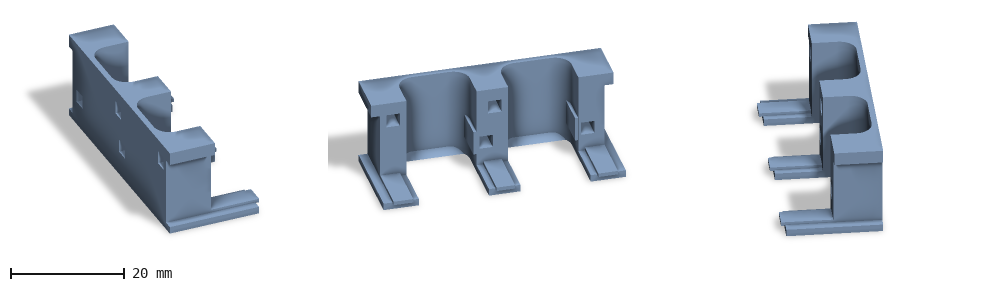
import cadquery as cq

overall_length = 44.1
nib_length = 0.1
length = overall_length - nib_length
height = 16.45
post_depth = 8.65
wall_thickness = 1.05

end_inset = 1.65
top_flange = 2.4
base_thickness = 1.32

bay_count = 2
end_post_width = 6.4
middle_post_width = 5.75
bay_width = (length - 2 * end_post_width - middle_post_width) / bay_count
bay_pitch = bay_width + middle_post_width
bay_starts = [end_post_width + i * bay_pitch for i in range(bay_count)]
bay_corner_radius = 3.0

nib_depth = 0.2
nib_height = 0.15

foot_reach = 17.1
tongue_reach = 17.85
tongue_inner_inset = 1.2
tongue_bottom = 1.2
tongue_top = 1.9

hole_size = 2.45
hole_lip = 1.05
low_hole_x = 3.45
low_hole_z = 4.6
high_hole_x = 20.35
high_hole_z = 11.6

pad_depth = 8.55
pad_width = low_hole_x + hole_size + hole_lip - end_post_width

wedge_size = 1.2


def box(x_min, x_max, y_max, z_min, z_max):
    """Block that starts at the front face (Y = 0)."""
    size = (x_max - x_min, y_max, z_max - z_min)
    return cq.Workplane("XY").box(*size, centered=False).translate((x_min, 0, z_min))


def end_recess(x_start):
    """Space between the top and bottom flanges at one end."""
    return box(x_start, x_start + end_inset, post_depth, base_thickness, height - top_flange)


def bay_cutter(x_start):
    """Opening from the rear with rounded corners against the front wall."""
    opening = box(x_start, x_start + bay_width, post_depth, 0, height)
    return opening.translate((0, wall_thickness, 0)).edges("|Z and <Y").fillet(bay_corner_radius)


def wedge(x_start):
    """Sloped strip along the bottom of a bay's wall."""
    profile = [
        (0, 0),
        (wall_thickness + wedge_size, 0),
        (wall_thickness, wedge_size),
        (0, wedge_size),
    ]
    return cq.Workplane("YZ").polyline(profile).close().extrude(bay_width).translate((x_start, 0, 0))


def pad(x_start):
    """Thickening on the bay side of a post, around the low hole."""
    z_min = low_hole_z - hole_lip
    z_max = low_hole_z + hole_size + hole_lip
    return box(x_start, x_start + pad_width, pad_depth, z_min, z_max)


def foot(x_min, x_max, left_inset, right_inset):
    """Base strip under one post with its narrower, longer tongue."""
    strip = box(x_min, x_max, foot_reach, 0, base_thickness)
    tongue = box(x_min + left_inset, x_max - right_inset, tongue_reach, tongue_bottom, tongue_top)
    return strip.union(tongue)


def square_hole(x_min, z_min):
    """Square hole through the wall and the post behind it."""
    return box(x_min, x_min + hole_size, post_depth, z_min, z_min + hole_size)


body = box(0, length, post_depth, 0, height)
for recess_x in (0, length - end_inset):
    body = body.cut(end_recess(recess_x))
for bay_x in bay_starts:
    body = body.cut(bay_cutter(bay_x)).union(wedge(bay_x)).union(pad(bay_x))

first_bay, last_bay = bay_starts
body = body.union(foot(0, first_bay, end_inset, tongue_inner_inset))
body = body.union(foot(first_bay + bay_width, last_bay, tongue_inner_inset, tongue_inner_inset))
body = body.union(foot(last_bay + bay_width, length, tongue_inner_inset, end_inset))

for first_x, hole_z in ((low_hole_x, low_hole_z), (high_hole_x, high_hole_z)):
    for i in range(bay_count):
        body = body.cut(square_hole(first_x + i * bay_pitch, hole_z))

nib = box(length, overall_length, nib_depth, base_thickness - nib_height, base_thickness)
result = body.union(nib)